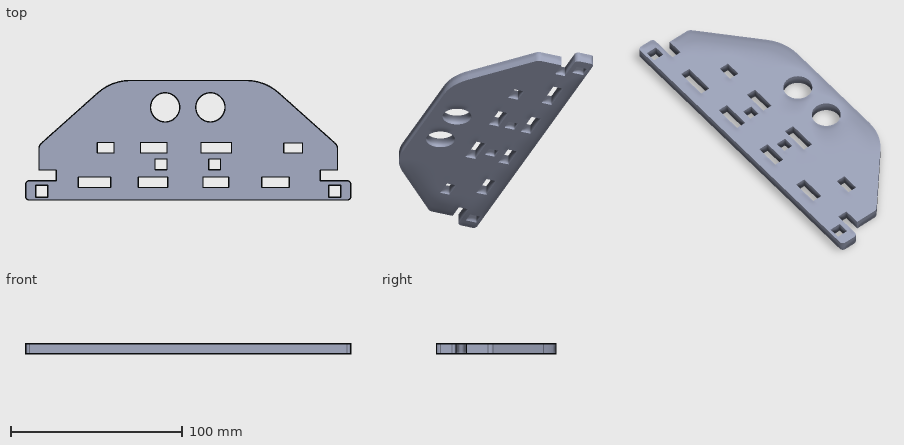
import cadquery as cq

length = 190.0
height = 70.0
thickness = 6.0

foot_height = 11.4
foot_corner_radius = 2.3
notch_top = 17.5
neck_half_width = 77.1
shoulder_half_width = 87.2
shoulder_height = 32.0
shoulder_radius = 3.8
top_half_width = 44.6
top_radius = 28.5

hole_diameter = 17.0
hole_y = 54.2
hole_xs = (-13.5, 13.0)

slot_width = 6.0
short_slot_width = 5.7
square_size = 6.8
lower_slot_y = 10.5
square_y = 20.9
upper_slot_y = 30.5
short_slot_y = 30.4
foot_square_y = 5.1
foot_square_x = 85.5

lower_slots = ((-54.7, 18.8), (-20.5, 17.1), (16.2, 14.8), (51.0, 16.0))
upper_slots = ((-48.3, 9.7), (-20.1, 15.4), (16.3, 17.7))
short_slot_x = 61.2
short_slot_length = 10.8
middle_square_xs = (-16.0, 15.4)


def plate():
    """Symmetric plate with a notch above each end of the foot."""
    right_side = [
        (length / 2, 0),
        (length / 2, foot_height),
        (neck_half_width, foot_height),
        (neck_half_width, notch_top),
        (shoulder_half_width, notch_top),
        (shoulder_half_width, shoulder_height),
        (top_half_width, height),
    ]
    left_side = [(-x, y) for x, y in reversed(right_side)]
    body = cq.Workplane("XY").polyline(right_side + left_side).close().extrude(thickness)
    body = round_corners(body, length / 2, 0, foot_corner_radius)
    body = round_corners(body, length / 2, foot_height, foot_corner_radius)
    body = round_corners(body, shoulder_half_width, shoulder_height, shoulder_radius)
    return round_corners(body, top_half_width, height, top_radius)


def round_corners(body, x, y, radius):
    """Round the mirrored pair of upright edges at (+x, y) and (-x, y)."""
    middle = thickness / 2
    edges = cq.selectors.NearestToPointSelector((x, y, middle))
    edges = edges + cq.selectors.NearestToPointSelector((-x, y, middle))
    return body.edges(edges).fillet(radius)


def cut_rectangle(body, x, y, size_x, size_y):
    """Cut a rectangular opening through the plate."""
    cutter = cq.Workplane("XY").center(x, y).rect(size_x, size_y).extrude(thickness)
    return body.cut(cutter)


result = plate()

for x in hole_xs:
    result = result.cut(cq.Workplane("XY").center(x, hole_y).circle(hole_diameter / 2).extrude(thickness))

for x, slot_length in lower_slots:
    result = cut_rectangle(result, x, lower_slot_y, slot_length, slot_width)

for x, slot_length in upper_slots:
    result = cut_rectangle(result, x, upper_slot_y, slot_length, slot_width)

result = cut_rectangle(result, short_slot_x, short_slot_y, short_slot_length, short_slot_width)

for x in middle_square_xs:
    result = cut_rectangle(result, x, square_y, square_size, slot_width)

for x in (-foot_square_x, foot_square_x):
    result = cut_rectangle(result, x, foot_square_y, square_size, square_size)